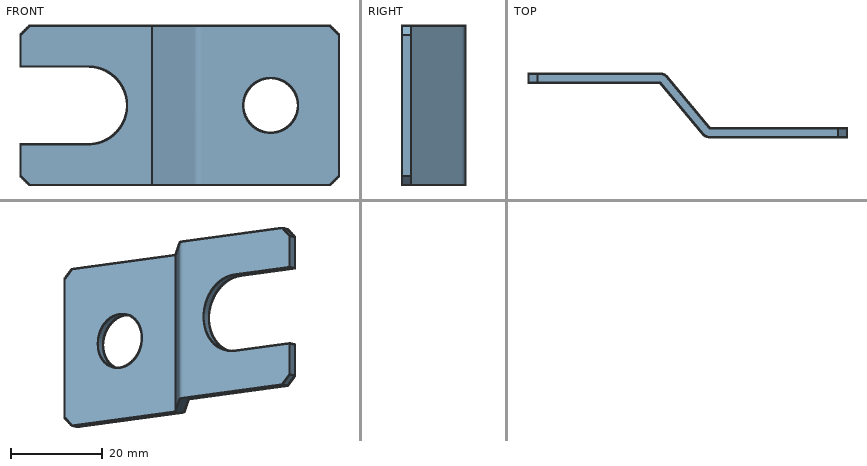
import cadquery as cq
import math

length = 70.0
depth = 14.0
height = 35.0
thickness = 2.0
corner_chamfer = 2.0

rear_bend_x = 28.9
front_bend_x = 39.8

slot_width = 17.0
slot_center_x = 14.9
hole_diameter = 12.0
hole_x = 54.95

bend_run = front_bend_x - rear_bend_x
bend_drop = depth - 2 * thickness
corner_distance = math.hypot(bend_run, bend_drop)
bend_angle = math.atan2(bend_drop, bend_run) + math.asin(thickness / corner_distance)


def arc_point(center, angle, side):
    """Point on an outer bend arc; side is +1 for the rear bend, -1 for the front."""
    return (
        center[0] + side * thickness * math.sin(angle),
        center[1] + side * thickness * math.cos(angle),
    )


def bent_strip():
    """Constant-thickness strip in the XY plane, extruded along Z."""
    rear_corner = (rear_bend_x, depth - thickness)
    front_corner = (front_bend_x, thickness)
    return (
        cq.Workplane("XY")
        .moveTo(0, depth - thickness)
        .lineTo(*rear_corner)
        .lineTo(*arc_point(front_corner, bend_angle, -1))
        .threePointArc(arc_point(front_corner, bend_angle / 2, -1), (front_bend_x, 0))
        .lineTo(length, 0)
        .lineTo(length, thickness)
        .lineTo(*front_corner)
        .lineTo(*arc_point(rear_corner, bend_angle, 1))
        .threePointArc(arc_point(rear_corner, bend_angle / 2, 1), (rear_bend_x, depth))
        .lineTo(0, depth)
        .close()
        .extrude(height)
    )


def open_slot():
    """Round-ended slot that opens through the -X end."""
    radius = slot_width / 2
    middle = height / 2
    return (
        cq.Workplane("XZ")
        .moveTo(0, middle - radius)
        .lineTo(slot_center_x, middle - radius)
        .threePointArc((slot_center_x + radius, middle), (slot_center_x, middle + radius))
        .lineTo(0, middle + radius)
        .close()
        .extrude(-depth)
    )


def round_hole():
    return cq.Workplane("XZ").center(hole_x, height / 2).circle(hole_diameter / 2).extrude(-depth)


strip = bent_strip().edges("|Y").chamfer(corner_chamfer)
result = strip.cut(open_slot()).cut(round_hole())